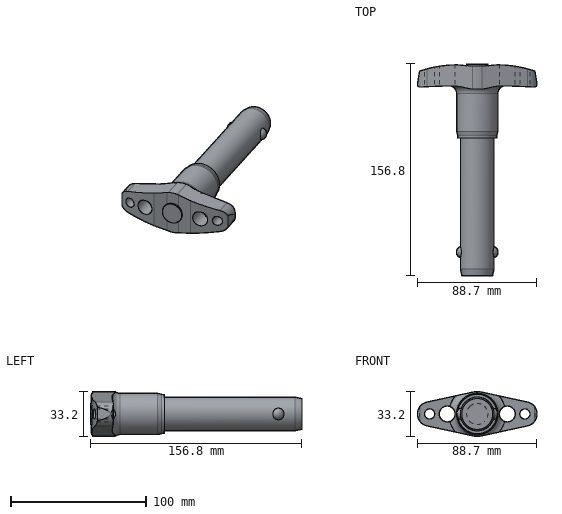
import cadquery as cq
import math

total_length = 156.8

handle_span = 88.7
center_round = 16.6
end_round = 9.1
end_offset = handle_span / 2 - end_round

back_dip_depth = 1.4
back_dip_half_width = 4.7
crest_x = 14.6
crest_depth = 0.5
back_radius = 86.2
back_end_half = 42.8
side_end_depth = 14.9
under_end_half = 42.3
under_end_depth = 17.1
under_center_depth = 16.0
overlap = 1.5

ring_hole_diameter = 7.4
grip_hole_diameter = 11.6
grip_hole_x = 22.3

button_radius = 7.8
collar_radius = 15.4
neck_fillet = 5.6
neck_foot_depth = 16.3
collar_taper_start = 49.9
collar_taper_end = 52.8
collar_end = 54.9
collar_end_radius = 14.6
shank_radius = 12.5
tip_radius = 11.5
tip_chamfer_length = 5.2
ball_radius = 4.4
ball_center_x = 11.1
ball_tip_distance = 17.5


def tangent_outline():
    """Outline in X and Z of the handle seen along the pin axis."""
    lean = math.asin((center_round - end_round) / end_offset)
    sin_lean = math.sin(lean)
    cos_lean = math.cos(lean)
    center_x = center_round * sin_lean
    center_z = center_round * cos_lean
    end_x = end_offset + end_round * sin_lean
    end_z = end_round * cos_lean
    return (
        cq.Workplane("XZ")
        .moveTo(-center_x, center_z)
        .threePointArc((0, center_round), (center_x, center_z))
        .lineTo(end_x, end_z)
        .threePointArc((handle_span / 2, 0), (end_x, -end_z))
        .lineTo(center_x, -center_z)
        .threePointArc((0, -center_round), (-center_x, -center_z))
        .lineTo(-end_x, -end_z)
        .threePointArc((-handle_span / 2, 0), (-end_x, end_z))
        .close()
    )


def back_depth(x):
    """Depth of the crowned back outside its crest."""
    return crest_depth + back_radius - math.sqrt(back_radius**2 - (x - crest_x) ** 2)


def side_profile():
    """Profile in X and Y: crowned back, leaning ends and slightly hollow underside."""
    side_x = handle_span / 2
    middle_x = (crest_x + back_end_half) / 2
    end_depth = back_depth(back_end_half)
    corner_mid = math.sqrt(0.5)
    corner_x = under_end_half + (side_x - under_end_half) * corner_mid
    corner_depth = side_end_depth + (under_end_depth - side_end_depth) * corner_mid
    return (
        cq.Workplane("XY")
        .moveTo(-back_dip_half_width, -back_dip_depth)
        .lineTo(back_dip_half_width, -back_dip_depth)
        .lineTo(crest_x, -crest_depth)
        .threePointArc((middle_x, -back_depth(middle_x)), (back_end_half, -end_depth))
        .lineTo(side_x, -side_end_depth)
        .threePointArc((corner_x, -corner_depth), (under_end_half, -under_end_depth))
        .threePointArc((0, -under_center_depth), (-under_end_half, -under_end_depth))
        .threePointArc((-corner_x, -corner_depth), (-side_x, -side_end_depth))
        .lineTo(-back_end_half, -end_depth)
        .threePointArc((-middle_x, -back_depth(middle_x)), (-crest_x, -crest_depth))
        .close()
    )


def revolve_about_pin(profile):
    return profile.close().revolve(360, (0, 0, 0), (0, 1, 0))


def make_neck():
    """Concave flare that blends the collar into the underside of the handle."""
    arc_step = neck_fillet * (1 - math.sqrt(0.5))
    profile = (
        cq.Workplane("XY")
        .moveTo(0, -neck_foot_depth + overlap)
        .lineTo(collar_radius + neck_fillet, -neck_foot_depth + overlap)
        .lineTo(collar_radius + neck_fillet, -neck_foot_depth)
        .threePointArc(
            (collar_radius + arc_step, -neck_foot_depth - arc_step),
            (collar_radius, -neck_foot_depth - neck_fillet),
        )
        .lineTo(0, -neck_foot_depth - neck_fillet)
    )
    return revolve_about_pin(profile)


def make_pin():
    """Button, collar and chamfered shank on one axis."""
    collar_start = under_center_depth - overlap
    profile = (
        cq.Workplane("XY")
        .lineTo(button_radius, 0)
        .lineTo(button_radius, -collar_start)
        .lineTo(collar_radius, -collar_start)
        .lineTo(collar_radius, -collar_taper_start)
        .lineTo(collar_end_radius, -collar_taper_end)
        .lineTo(collar_end_radius, -collar_end)
        .lineTo(shank_radius, -collar_end)
        .lineTo(shank_radius, -total_length + tip_chamfer_length)
        .lineTo(tip_radius, -total_length)
        .lineTo(0, -total_length)
    )
    return revolve_about_pin(profile)


outline = tangent_outline().extrude(total_length)
handle = side_profile().extrude(center_round, both=True)
body = handle.union(make_neck()).intersect(outline)

for hole_x, diameter in ((end_offset, ring_hole_diameter), (grip_hole_x, grip_hole_diameter)):
    holes = (
        cq.Workplane("XZ")
        .pushPoints([(-hole_x, 0), (hole_x, 0)])
        .circle(diameter / 2)
        .extrude(collar_end)
    )
    body = body.cut(holes)

result = body.union(make_pin())
for side in (-1, 1):
    ball = cq.Workplane("XY").sphere(ball_radius)
    result = result.union(ball.translate((side * ball_center_x, -total_length + ball_tip_distance, 0)))